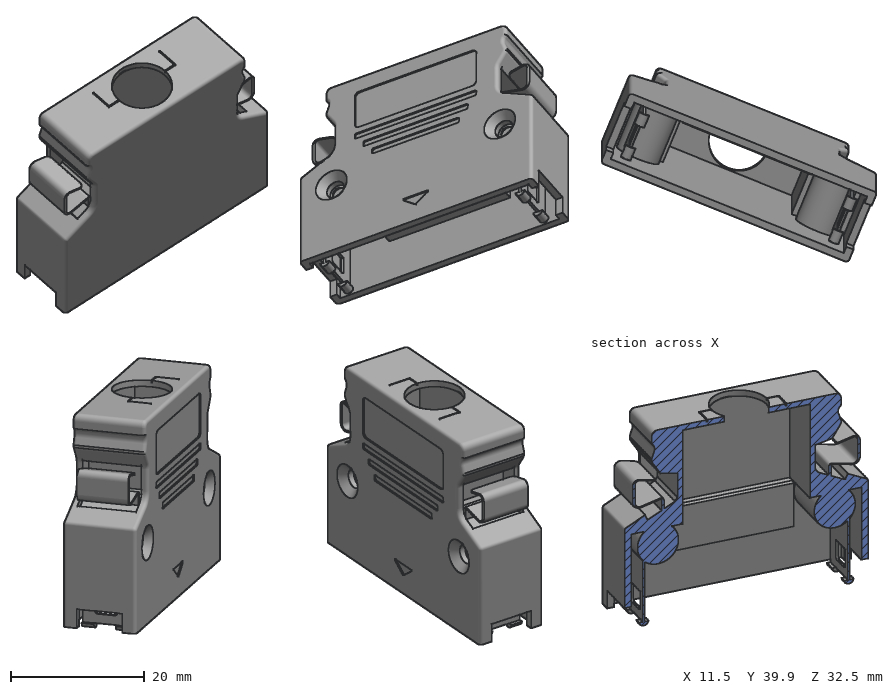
import cadquery as cq
import math

width = 11.5
length = 39.9
half_width = width / 2
half_length = length / 2
height = 31.9
shoulder_z = 16.35
shoulder_angle = 26.0
neck_y = 14.05
head_y = 15.52
neck_top_z = 24.38
lip_edge_y = 15.35
lip_edge_z = 26.4
lip_bottom_z = 26.77
lip_top_z = 27.17
groove_y = 15.15
groove_deepest_y = 15.05
groove_bottom_z = 28.2
groove_top_z = 29.3
head_side_bottom_z = 29.73

edge_radius = 0.55
neck_bottom_radius = 2.0
neck_top_radius = 1.2
head_radius = 1.0

side_wall = 1.1
end_wall = 1.15
top_wall = 1.0
lower_cavity_top = 15.15
upper_cavity_y = 10.37
ledge_x = 3.27
ledge_chamfer = 0.3
ledge_bottom_z = 7.6
ledge_top_z = 15.15

cable_hole_diameter = 9.0
seam_half_length = 6.45
seam_x = 3.65
seam_gap = 0.15
seam_depth = 0.3

screw_y = 14.45
screw_z = 12.7
countersink_diameter = 5.35
screw_hole_diameter = 2.9
pilot_diameter = 2.05
screw_hole_depth = 2.2
pilot_depth = 2.4
boss_diameter = 6.8

mark_depth = 0.25
label_length = 20.85
label_height = 6.85
label_z = 25.45
label_radius = 0.8
bar_lengths = (20.85, 17.95, 14.95)
bar_height = 1.0
bar_radius = 0.3
top_bar_z = 20.45
bar_pitch = 2.05
arrow_half_width = 2.1
arrow_top_z = 4.95
arrow_shoulder_z = 4.7
arrow_tip_z = 3.07

clip_offset_x = -0.05
clip_half_width = 4.03
clip_thickness = 0.48
clip_outer_y = 18.65
clip_low_z = 19.0
clip_high_z = 24.4
clip_slope = 0.23
clip_low_radius = 1.2
clip_high_radius = 1.0
clip_tip_radius = 0.8
clip_tip_y = 14.8
clip_leg_y = 13.9
clip_leg_bottom_z = 17.55
clip_bend_radius = 0.6
pocket_half_width = 4.63
pocket_back_y = 11.3
pocket_ceiling_back_z = 23.85
pocket_lip_y = 16.55
pocket_valley_y = 16.1
pocket_floor_back_z = 19.87
pocket_step_depth = 0.4

notch_half_width = 3.6
notch_height = 3.0
latch_half_width = 3.67
latch_slot_half_width = 1.7
latch_y = 16.75
latch_thickness = 0.4
latch_bottom_z = 0.1
latch_top_z = 11.97
window_bottom_z = 1.6
window_top_z = 4.8
window_radius = 0.45
foot_diameter = 1.6
foot_drop = 0.6

shoulder_slope = math.tan(math.radians(shoulder_angle))


def shoulder_height(y):
    """Z of the sloping shoulder (or of its continuation) at a distance y from the middle."""
    return shoulder_z + (half_length - y) * shoulder_slope


def box(x_range, y_range, z_range):
    """Box between the given limits."""
    (x0, x1), (y0, y1), (z0, z1) = x_range, y_range, z_range
    return cq.Workplane("XY").box(x1 - x0, y1 - y0, z1 - z0, centered=False).translate((x0, y0, z0))


def prism(points, x_middle, half_depth):
    """Extrude a Y-Z polygon along X, equally to both sides of x_middle."""
    plane = cq.Workplane("YZ", origin=(x_middle, 0, 0))
    return plane.polyline(points).close().extrude(half_depth, both=True)


def with_mirror(shape):
    """A shape together with its copy at the other end of the part."""
    return shape.union(shape.mirror("XZ"))


def round_corners(body, y, z, radius):
    """Round the X-parallel edges at (y, z) and (-y, z)."""
    for side in (1, -1):
        edge = cq.selectors.NearestToPointSelector((0, side * y, z))
        body = body.edges("|X").edges(edge).fillet(radius)
    return body


def make_shell():
    half_outline = (
        cq.Workplane("YZ", origin=(-half_width, 0, 0))
        .lineTo(half_length, 0)
        .lineTo(half_length, shoulder_z)
        .lineTo(neck_y, shoulder_height(neck_y))
        .lineTo(neck_y, neck_top_z)
        .lineTo(lip_edge_y, lip_edge_z)
        .lineTo(head_y, lip_bottom_z)
        .lineTo(head_y, lip_top_z)
        .lineTo(groove_y, groove_bottom_z)
        .threePointArc((groove_deepest_y, (groove_bottom_z + groove_top_z) / 2), (groove_y, groove_top_z))
        .lineTo(head_y, head_side_bottom_z)
        .lineTo(head_y, height)
        .lineTo(0, height)
        .close()
    )
    body = with_mirror(half_outline.extrude(width)).clean()
    body = round_corners(body, half_length, shoulder_z, edge_radius)
    body = round_corners(body, neck_y, shoulder_height(neck_y), neck_bottom_radius)
    body = round_corners(body, neck_y, neck_top_z, neck_top_radius)
    body = round_corners(body, head_y, height, head_radius)
    above_rim = cq.selectors.BoxSelector((-width, -length, edge_radius), (width, length, height + edge_radius))
    return body.faces("<X or >X").edges(above_rim).fillet(edge_radius)


def make_cavity():
    inner_x = half_width - side_wall
    inner_y = half_length - end_wall
    lower = box((-inner_x, inner_x), (-inner_y, inner_y), (0, lower_cavity_top))
    upper = box((-inner_x, inner_x), (-upper_cavity_y, upper_cavity_y), (0, height - top_wall))
    ledge = box((ledge_x, half_width), (-upper_cavity_y, upper_cavity_y), (ledge_bottom_z, ledge_top_z))
    ledge = ledge.edges("<X and >Z").chamfer(ledge_chamfer)
    boss = cq.Workplane("YZ", origin=(-half_width, screw_y, screw_z)).circle(boss_diameter / 2)
    boss = boss.extrude(width)
    return lower.union(upper).cut(ledge).cut(with_mirror(boss))


def make_cable_entry():
    hole = cq.Workplane("XY", origin=(0, 0, height)).circle(cable_hole_diameter / 2).extrude(-top_wall)
    depth = (height - seam_depth, height)
    gap = seam_gap / 2
    middle = box((-gap, gap), (-seam_half_length, seam_half_length), depth)
    cross = box((-seam_x, gap), (seam_half_length - gap, seam_half_length + gap), depth)
    return hole.union(middle).union(with_mirror(cross))


def make_screw_holes():
    cone_depth = (countersink_diameter - screw_hole_diameter) / 2
    profile = [
        (0, 0),
        (countersink_diameter / 2, 0),
        (screw_hole_diameter / 2, cone_depth),
        (screw_hole_diameter / 2, screw_hole_depth),
        (pilot_diameter / 2, screw_hole_depth),
        (pilot_diameter / 2, pilot_depth),
        (0, pilot_depth),
    ]
    hole = cq.Workplane("XY").polyline(profile).close().revolve(360, (0, 0, 0), (0, 1, 0))
    hole = hole.rotate((0, 0, 0), (0, 0, 1), -90)
    return with_mirror(hole.translate((-half_width, screw_y, screw_z)))


def rounded_mark(length_y, height_z, z, radius):
    """Shallow rounded rectangle, centred at height z on the -X face."""
    mark = cq.Workplane("YZ", origin=(-half_width, 0, z)).rect(length_y, height_z).extrude(mark_depth)
    return mark.edges("|X").fillet(radius)


def make_marks():
    marks = rounded_mark(label_length, label_height, label_z, label_radius)
    for index, bar_length in enumerate(bar_lengths):
        marks = marks.union(rounded_mark(bar_length, bar_height, top_bar_z - index * bar_pitch, bar_radius))
    arrow = [
        (-arrow_half_width, arrow_top_z),
        (arrow_half_width, arrow_top_z),
        (arrow_half_width, arrow_shoulder_z),
        (0, arrow_tip_z),
        (-arrow_half_width, arrow_shoulder_z),
    ]
    return marks.union(prism(arrow, -half_width, mark_depth))


def make_pocket():
    """Recess in the neck; its floor runs parallel to the shoulder behind a square lip.

    Its ceiling starts in the sharp corner of the neck and the overhanging lip.
    """
    valley_z = shoulder_height(pocket_lip_y) - (pocket_lip_y - pocket_valley_y) / shoulder_slope
    floor_break_y = pocket_back_y + pocket_step_depth
    floor_break_z = valley_z + (pocket_valley_y - floor_break_y) * shoulder_slope
    profile = [
        (pocket_back_y, pocket_ceiling_back_z),
        (pocket_back_y, pocket_floor_back_z),
        (floor_break_y, floor_break_z),
        (pocket_valley_y, valley_z),
        (pocket_lip_y, shoulder_height(pocket_lip_y)),
        (pocket_lip_y, lip_edge_z),
        (lip_edge_y, lip_edge_z),
        (neck_y, neck_top_z),
    ]
    return prism(profile, 0, pocket_half_width)


def make_clip():
    """Bent spring strip: a leg on the pocket floor, a lower arm, an outer web and a short upper arm."""
    root_y = clip_leg_y - clip_thickness

    def loop(inset):
        outer_y = clip_outer_y - inset
        rise = inset * (math.hypot(1, clip_slope) - clip_slope)
        low, high = clip_low_z + rise, clip_high_z - rise
        drop = (outer_y - root_y) * clip_slope
        points = [(outer_y, low), (outer_y, high), (root_y, high - drop), (root_y, low + drop)]
        prism_body = prism(points, clip_offset_x, clip_half_width)
        for corner_z, radius in ((low, clip_low_radius), (high, clip_high_radius)):
            corner = cq.selectors.NearestToPointSelector((clip_offset_x, outer_y, corner_z))
            prism_body = prism_body.edges("|X").edges(corner).fillet(radius - inset)
        return prism_body

    clip = loop(0).cut(loop(clip_thickness))
    middle_z = (clip_low_z + clip_high_z) / 2
    clip = clip.cut(box((-width, width), (0, clip_tip_y), (middle_z, height)))
    for side in (1, -1):
        tip = (clip_offset_x + side * clip_half_width, clip_tip_y, clip_high_z)
        clip = clip.edges(cq.selectors.NearestToPointSelector(tip)).fillet(clip_tip_radius)

    arm_z = clip_low_z + (clip_outer_y - root_y) * clip_slope
    leg = [
        (root_y, clip_leg_bottom_z),
        (clip_leg_y, clip_leg_bottom_z),
        (clip_leg_y, arm_z),
        (root_y, arm_z),
    ]
    clip = clip.union(prism(leg, clip_offset_x, clip_half_width)).clean()
    bend = cq.selectors.NearestToPointSelector((clip_offset_x, root_y, arm_z + clip_thickness))
    return clip.edges("|X").edges(bend).fillet(clip_bend_radius)


def make_latch():
    """Windowed plate inside the end wall with two rounded feet below the rim."""
    y_range = (latch_y - latch_thickness / 2, latch_y + latch_thickness / 2)
    plate = box((-latch_half_width, latch_half_width), y_range, (latch_bottom_z, latch_top_z))
    window = box(
        (-latch_slot_half_width, latch_slot_half_width),
        (latch_y - latch_thickness, latch_y + latch_thickness),
        (window_bottom_z, window_top_z),
    )
    plate = plate.cut(window.edges("|Y and <Z").fillet(window_radius))
    foot_width = latch_half_width - latch_slot_half_width
    foot_z = foot_diameter / 2 - foot_drop
    for foot_x in (-latch_half_width, latch_slot_half_width):
        foot = cq.Workplane("YZ", origin=(foot_x, latch_y, foot_z)).circle(foot_diameter / 2)
        foot = foot.extrude(foot_width)
        plate = plate.union(foot.cut(box((-width, width), (0, length), (latch_bottom_z, height))))
    return plate.translate((clip_offset_x, 0, 0))


def make_notch():
    y_range = (half_length - end_wall, half_length)
    return box((-notch_half_width, notch_half_width), y_range, (0, notch_height))


housing = (
    make_shell()
    .cut(make_cavity())
    .cut(with_mirror(make_pocket()))
    .cut(with_mirror(make_notch()))
    .cut(make_cable_entry())
    .cut(make_screw_holes())
    .cut(make_marks())
)
result = housing.union(with_mirror(make_clip())).union(with_mirror(make_latch()))